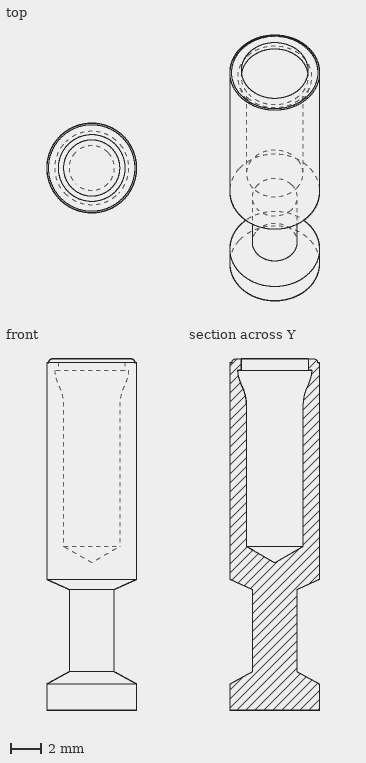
import cadquery as cq
import math

length = 23.4
body_radius = 3.0
stem_radius = body_radius / 2

foot_rim_height = 1.75
stem_bottom = 2.57
stem_top = 8.03
body_bottom = 8.7

rim_ledge = 0.12
rim_radius = 0.25

mouth_radius = 2.22
lip_depth = 0.77
groove_radius = 2.45
groove_curve_radius = 1.73
groove_curve_end = (2.36, 1.33)
groove_taper_end = (2.3, 1.55)
lead_in_depth = 1.73

bore_radius = 1.87
lead_in_curve_radius = body_radius
lead_in_width = mouth_radius - bore_radius
lead_in_length = math.sqrt(lead_in_width * (2 * lead_in_curve_radius - lead_in_width))

floor_slope = 30
floor_cone_height = bore_radius * math.tan(math.radians(floor_slope))
floor_thickness = body_radius - bore_radius
floor_tip = body_bottom + floor_thickness


def revolve_about_z(profile):
    """Turn a closed XZ profile a full circle about the Z axis."""
    return profile.revolve(360, (0, 0, 0), (0, 1, 0))


def make_outer_shape():
    """Solid body, stem and foot."""
    rim_outer_radius = body_radius - rim_ledge
    rim_height = length - rim_radius
    profile = (
        cq.Workplane("XZ")
        .lineTo(body_radius, 0)
        .lineTo(body_radius, foot_rim_height)
        .lineTo(stem_radius, stem_bottom)
        .lineTo(stem_radius, stem_top)
        .lineTo(body_radius, body_bottom)
        .lineTo(body_radius, rim_height)
        .lineTo(rim_outer_radius, rim_height)
        .radiusArc((rim_outer_radius - rim_radius, length), -rim_radius)
        .lineTo(0, length)
        .close()
    )
    return revolve_about_z(profile)


def make_bore():
    """Blind cavity: mouth, groove, rounded lead-in, straight bore and conical floor."""
    lip_height = length - lip_depth
    lead_in_height = length - lead_in_depth
    curve_end_radius, curve_end_depth = groove_curve_end
    taper_end_radius, taper_end_depth = groove_taper_end
    profile = (
        cq.Workplane("XZ")
        .moveTo(0, length)
        .lineTo(mouth_radius, length)
        .lineTo(mouth_radius, lip_height)
        .lineTo(groove_radius, lip_height)
        .radiusArc((curve_end_radius, length - curve_end_depth), groove_curve_radius)
        .lineTo(taper_end_radius, length - taper_end_depth)
        .lineTo(mouth_radius, lead_in_height)
        .radiusArc((bore_radius, lead_in_height - lead_in_length), -lead_in_curve_radius)
        .lineTo(bore_radius, floor_tip + floor_cone_height)
        .lineTo(0, floor_tip)
        .close()
    )
    return revolve_about_z(profile)


result = make_outer_shape().cut(make_bore())